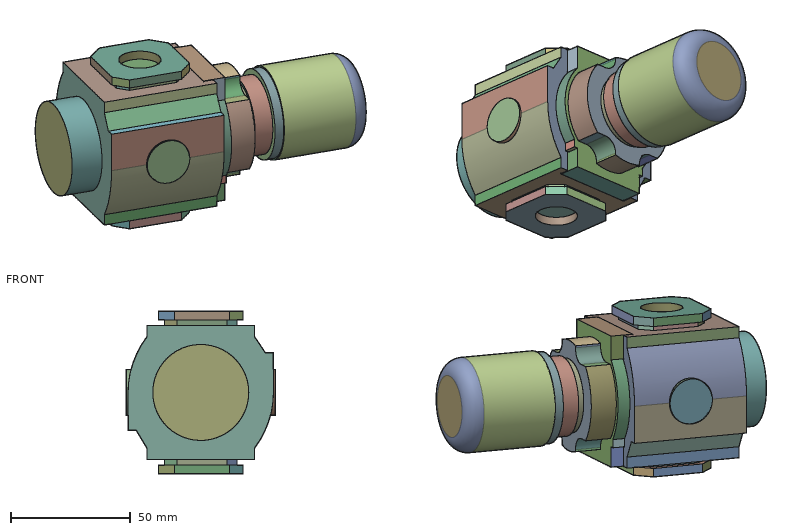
import cadquery as cq
import math


HOUSING_HALF_LENGTH = 25.5
HOUSING_FRONT = -HOUSING_HALF_LENGTH
HOUSING_BACK = HOUSING_HALF_LENGTH
HOUSING_HALF_HEIGHT = 28.0
FLAT_HALF_WIDTH = 22.5
CHEEK_HALF_WIDTH = 30.3
CHEEK_HALF_HEIGHT = 23.3
LUG_ROOT = 27.0
UPPER_LUG_HEIGHT = 16.7
LOWER_LUG_HEIGHT = 15.8

PLUG_RADIUS = 20.0
PLUG_FRONT = -39.0
GAUGE_RADIUS = 9.6
GAUGE_HALF_SPAN = 31.1

PORT_HALF_WIDTH = 17.7
PORT_FRONT_LEFT_CUT = 6.8
PORT_FRONT_RIGHT_CUT = 5.7
PORT_BACK_CUT = 6.4
PORT_NECK_INSET = 2.6
PORT_OUTER_HEIGHT = 34.0
PORT_PLATE_THICKNESS = 3.7
PORT_PLATE_BASE = PORT_OUTER_HEIGHT - PORT_PLATE_THICKNESS
PORT_HOLE_RADIUS = 8.8

FLANGE_RADIUS = 25.5
FLANGE_BACK = 30.9
TONGUE_HALF_WIDTH = 18.1
TONGUE_FRONT = 21.1
TONGUE_BASE_HEIGHT = math.sqrt(FLANGE_RADIUS**2 - TONGUE_HALF_WIDTH**2)
TONGUE_SIDE_GAP = 0.4
SHOULDER_TOP = -15.8
SHOULDER_BOTTOM = -19.4
SHOULDER_HALF_WIDTH = math.sqrt(FLANGE_RADIUS**2 - SHOULDER_TOP**2)

NUT_RADIUS = 23.7
NUT_BACK = 42.2
SIDE_LOBE_HALF_HEIGHT = 15.8
TOP_LOBE_HALF_WIDTH = 7.0
LOBE_CORNER_RADIUS = 6.0

STEM_RADIUS = 15.7
STEM_BACK = 45.1
NECK_RADIUS = 16.9
NECK_BACK = 53.1
COLLAR_RADIUS = 19.4
COLLAR_BACK = 57.0
KNOB_RADIUS = 20.0
KNOB_LENGTH = 39.4
KNOB_ROUNDING = 7.0


def along_y(start):
    """Workplane at Y = start whose local axes are X and Z; its normal points toward -Y."""
    return cq.Workplane(cq.Plane(origin=(0, start, 0), xDir=(1, 0, 0), normal=(0, -1, 0)))


def extrude_y(start, end, sketch):
    """Extrude the outline drawn by sketch from Y = start to Y = end."""
    return sketch(along_y(start)).extrude(start - end)


def cylinder_y(start, end, radius):
    return extrude_y(start, end, lambda plane: plane.circle(radius))


def block(x_range, y_range, z_range):
    """Box between the given limits on each axis."""
    ranges = (x_range, y_range, z_range)
    sizes = [high - low for low, high in ranges]
    corner = tuple(low for low, high in ranges)
    return cq.Workplane("XY").box(*sizes, centered=False).translate(corner)


def housing_block():
    """Block with two arched quarters, and a square lug and sloped corner in each other quarter."""
    bulge = CHEEK_HALF_WIDTH - FLAT_HALF_WIDTH
    arch_radius = (bulge**2 + CHEEK_HALF_HEIGHT**2) / (2 * bulge)
    arch_mid_angle = math.asin(CHEEK_HALF_HEIGHT / arch_radius) / 2
    arch_x = CHEEK_HALF_WIDTH - arch_radius * (1 - math.cos(arch_mid_angle))
    arch_z = arch_radius * math.sin(arch_mid_angle)

    def outline(plane):
        return (
            plane.moveTo(-FLAT_HALF_WIDTH, HOUSING_HALF_HEIGHT)
            .lineTo(FLAT_HALF_WIDTH, HOUSING_HALF_HEIGHT)
            .lineTo(FLAT_HALF_WIDTH, CHEEK_HALF_HEIGHT)
            .lineTo(LUG_ROOT, UPPER_LUG_HEIGHT)
            .lineTo(CHEEK_HALF_WIDTH, UPPER_LUG_HEIGHT)
            .lineTo(CHEEK_HALF_WIDTH, 0)
            .threePointArc((arch_x, -arch_z), (FLAT_HALF_WIDTH, -CHEEK_HALF_HEIGHT))
            .lineTo(FLAT_HALF_WIDTH, -HOUSING_HALF_HEIGHT)
            .lineTo(-FLAT_HALF_WIDTH, -HOUSING_HALF_HEIGHT)
            .lineTo(-FLAT_HALF_WIDTH, -CHEEK_HALF_HEIGHT)
            .lineTo(-LUG_ROOT, -LOWER_LUG_HEIGHT)
            .lineTo(-CHEEK_HALF_WIDTH, -LOWER_LUG_HEIGHT)
            .lineTo(-CHEEK_HALF_WIDTH, 0)
            .threePointArc((-arch_x, arch_z), (-FLAT_HALF_WIDTH, CHEEK_HALF_HEIGHT))
            .close()
        )

    return extrude_y(HOUSING_FRONT, HOUSING_BACK, outline)


def gauge_discs():
    """One bar through the housing whose ends stand out as round discs on both sides."""
    return cq.Workplane("YZ").circle(GAUGE_RADIUS).extrude(GAUGE_HALF_SPAN, both=True)


def port_outline(inset):
    """Eight-sided port outline, moved inward by inset on every side."""
    half = PORT_HALF_WIDTH - inset
    cut_change = inset * (2 - math.sqrt(2))
    front_left = half - (PORT_FRONT_LEFT_CUT - cut_change)
    front_right = half - (PORT_FRONT_RIGHT_CUT - cut_change)
    back = half - (PORT_BACK_CUT - cut_change)
    return [
        (-half, -front_left),
        (-front_left, -half),
        (front_right, -half),
        (half, -front_right),
        (half, back),
        (back, half),
        (-back, half),
        (-half, back),
    ]


def top_port():
    """Port plate on a narrower neck, with a round hole through the plate only."""
    neck = cq.Workplane("XY").polyline(port_outline(PORT_NECK_INSET)).close().extrude(PORT_PLATE_BASE)
    plate = (
        cq.Workplane("XY", origin=(0, 0, PORT_PLATE_BASE))
        .polyline(port_outline(0))
        .close()
        .extrude(PORT_PLATE_THICKNESS)
    )
    hole = (
        cq.Workplane("XY", origin=(0, 0, PORT_PLATE_BASE))
        .circle(PORT_HOLE_RADIUS)
        .extrude(PORT_PLATE_THICKNESS)
    )
    return neck.union(plate).cut(hole)


def top_tongue(half_width, back):
    """Bar at the top of the housing, from the tongue front to Y = back."""
    return block(
        (-half_width, half_width),
        (TONGUE_FRONT, back),
        (TONGUE_BASE_HEIGHT, HOUSING_HALF_HEIGHT),
    )


def top_and_bottom(shape):
    """The shape together with its mirror image below the XY plane."""
    return shape.union(shape.mirror("XY"))


def make_housing():
    notch = top_tongue(TONGUE_HALF_WIDTH + TONGUE_SIDE_GAP, HOUSING_BACK)
    return (
        housing_block()
        .union(cylinder_y(PLUG_FRONT, HOUSING_FRONT, PLUG_RADIUS))
        .union(gauge_discs())
        .union(top_and_bottom(top_port()))
        .cut(top_and_bottom(notch))
    )


def flange():
    """Round flange with top and bottom tongues and a square shoulder above the bottom tongue."""
    disc = cylinder_y(HOUSING_BACK, FLANGE_BACK, FLANGE_RADIUS)
    shoulder = block(
        (-SHOULDER_HALF_WIDTH, SHOULDER_HALF_WIDTH),
        (HOUSING_BACK, FLANGE_BACK),
        (SHOULDER_BOTTOM, SHOULDER_TOP),
    )
    tongues = top_and_bottom(top_tongue(TONGUE_HALF_WIDTH, FLANGE_BACK))
    return disc.union(shoulder).union(tongues)


def nut():
    """Round nut with four corner cuts, each with a rounded inner corner."""
    body = cylinder_y(FLANGE_BACK, NUT_BACK, NUT_RADIUS)
    for x_side in (-1, 1):
        for z_side in (-1, 1):
            corner_x = TOP_LOBE_HALF_WIDTH + NUT_RADIUS / 2
            corner_z = SIDE_LOBE_HALF_HEIGHT + NUT_RADIUS / 2
            cutter = (
                along_y(FLANGE_BACK)
                .center(x_side * corner_x, z_side * corner_z)
                .rect(NUT_RADIUS, NUT_RADIUS)
                .extrude(FLANGE_BACK - NUT_BACK)
                .edges("|Y")
                .fillet(LOBE_CORNER_RADIUS)
            )
            body = body.cut(cutter)
    return body


def knob():
    """Round knob with a rounded back rim."""
    body = cylinder_y(COLLAR_BACK, COLLAR_BACK + KNOB_LENGTH, KNOB_RADIUS)
    return body.faces(">Y").edges().fillet(KNOB_ROUNDING)


def make_bonnet():
    return (
        flange()
        .union(nut())
        .union(cylinder_y(NUT_BACK, STEM_BACK, STEM_RADIUS))
        .union(cylinder_y(STEM_BACK, NECK_BACK, NECK_RADIUS))
        .union(cylinder_y(NECK_BACK, COLLAR_BACK, COLLAR_RADIUS))
        .union(knob())
    )


housing = make_housing()
bonnet = make_bonnet()

result = cq.Compound.makeCompound([housing.val(), bonnet.val()])